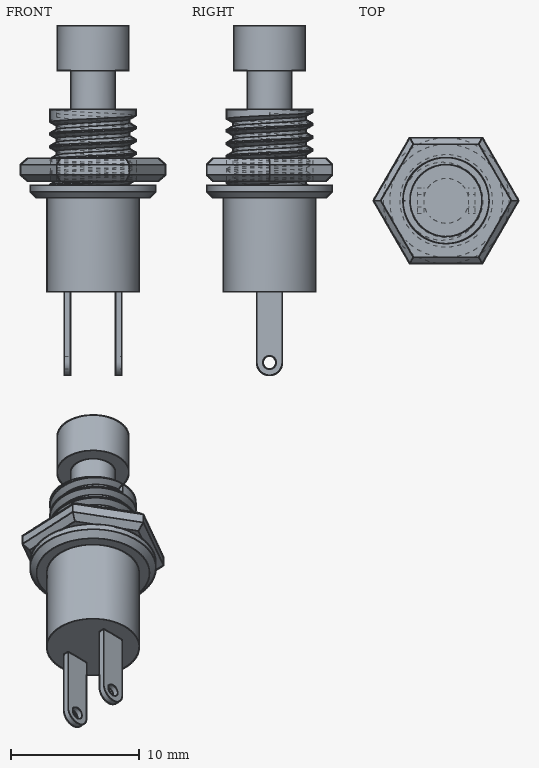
import cadquery as cq
import math


housing_diameter = 7.2
housing_height = 7.3
flange_diameter = 9.8
flange_height = 1.0
flange_chamfer = 0.5

thread_diameter = 6.7
thread_height = 5.9
thread_depth = 0.5
thread_pitch = 1.0
thread_half_angle = 30.0
thread_crest = thread_pitch / 8
thread_turns = 6
groove_end_below_top = 0.42
groove_end_angle = 180.0
groove_overshoot = 0.05

stem_diameter = 3.5
stem_height = 3.0
button_diameter = 5.6
button_height = 3.5

terminal_length = 6.5
terminal_width = 2.0
terminal_thickness = 0.5
terminal_offset = 2.0
terminal_hole_diameter = 1.0

nut_across_flats = 9.8
nut_across_corners = nut_across_flats / math.cos(math.radians(30))
nut_height = 1.8
nut_chamfer = 0.5
nut_flange_gap = 0.3

housing_bottom = -flange_height - housing_height
stem_top = thread_height + stem_height
groove_end_level = thread_height - groove_end_below_top
groove_start_level = groove_end_level - thread_turns * thread_pitch


def cylinder(diameter, bottom, height):
    return cq.Workplane("XY").workplane(offset=bottom).circle(diameter / 2).extrude(height)


def thread_groove():
    """Helical cutter with a trapezoidal section, starting hidden in the flange."""
    root_radius = thread_diameter / 2 - thread_depth
    outer_radius = thread_diameter / 2 + groove_overshoot
    flank_slope = math.tan(math.radians(thread_half_angle))
    mouth_half_width = (thread_pitch - thread_crest) / 2
    root_half_width = mouth_half_width - thread_depth * flank_slope
    outer_half_width = mouth_half_width + groove_overshoot * flank_slope
    helix = cq.Wire.makeHelix(thread_pitch, thread_turns * thread_pitch, root_radius)
    groove = (
        cq.Workplane("XZ")
        .moveTo(root_radius, -root_half_width)
        .lineTo(outer_radius, -outer_half_width)
        .lineTo(outer_radius, outer_half_width)
        .lineTo(root_radius, root_half_width)
        .close()
        .sweep(cq.Workplane(helix), isFrenet=True)
    )
    return groove.rotate((0, 0, 0), (0, 0, 1), groove_end_angle).translate((0, 0, groove_start_level))


def threaded_neck():
    blank = cylinder(thread_diameter, -flange_height, flange_height + thread_height)
    return blank.cut(thread_groove())


def flange():
    disc = cylinder(flange_diameter, -flange_height, flange_height)
    return disc.faces("<Z").chamfer(flange_chamfer)


def terminal(x_center):
    """Flat blade with a fully rounded tip and a wire hole at the centre of the rounding."""
    tip_radius = terminal_width / 2
    tip_center_level = housing_bottom - terminal_length + tip_radius
    blade = (
        cq.Workplane("YZ")
        .workplane(offset=x_center - terminal_thickness / 2)
        .moveTo(-tip_radius, housing_bottom)
        .lineTo(-tip_radius, tip_center_level)
        .threePointArc((0, tip_center_level - tip_radius), (tip_radius, tip_center_level))
        .lineTo(tip_radius, housing_bottom)
        .close()
        .moveTo(0, tip_center_level)
        .circle(terminal_hole_diameter / 2)
        .extrude(terminal_thickness)
    )
    return blade


def make_switch():
    switch = threaded_neck().union(flange())
    switch = switch.union(cylinder(housing_diameter, housing_bottom, housing_height))
    switch = switch.union(cylinder(stem_diameter, thread_height, stem_height))
    switch = switch.union(cylinder(button_diameter, stem_top, button_height))
    for x_center in (-terminal_offset, terminal_offset):
        switch = switch.union(terminal(x_center))
    return switch


def make_nut():
    """Hex nut, chamfered on both faces, whose bore touches the thread crests."""
    blank = (
        cq.Workplane("XY")
        .workplane(offset=nut_flange_gap)
        .polygon(6, nut_across_corners)
        .extrude(nut_height)
        .faces("<Z or >Z")
        .chamfer(nut_chamfer)
    )
    return blank.cut(cylinder(thread_diameter, nut_flange_gap, nut_height))


switch = make_switch()
nut = make_nut()

result = cq.Compound.makeCompound([switch.solids().val(), nut.solids().val()])